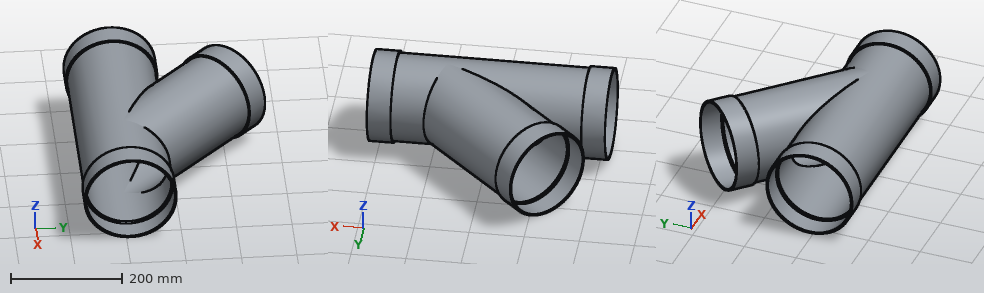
import cadquery as cq
import math


run_length = 432.0
bore_diameter = 154.0
wall = 3.0
socket_depth = 40.0
branch_angle = 45.0
crotch_clearance = 60.0

pipe_diameter = bore_diameter + 2 * wall
socket_diameter = pipe_diameter
collar_diameter = socket_diameter + 2 * wall
collar_length = socket_depth + wall
crotch_distance = pipe_diameter / 2 / math.tan(math.radians(branch_angle / 2))
branch_length = crotch_distance + crotch_clearance + collar_length
junction_x = branch_length - run_length / 2

run_start = cq.Vector(-run_length / 2, 0, 0)
run_end = cq.Vector(run_length / 2, 0, 0)
junction = cq.Vector(junction_x, 0, 0)
branch_direction = cq.Vector(
    -math.cos(math.radians(branch_angle)),
    math.sin(math.radians(branch_angle)),
    0,
)
branch_end = junction + branch_direction * branch_length

open_ends = [
    (run_start, cq.Vector(-1, 0, 0)),
    (run_end, cq.Vector(1, 0, 0)),
    (branch_end, branch_direction),
]


def cylinder_between(start, end, diameter):
    """Solid cylinder whose axis goes from start to end."""
    axis = end - start
    return cq.Workplane(cq.Solid.makeCylinder(diameter / 2, axis.Length, start, axis))


def wye(diameter, end_diameter, end_depth):
    """Run and branch of one diameter, widened over end_depth at each of the three open ends."""
    body = cylinder_between(run_start, run_end, diameter)
    body = body.union(cylinder_between(junction, branch_end, diameter))
    for end, outward in open_ends:
        body = body.union(cylinder_between(end - outward * end_depth, end, end_diameter))
    return body


def shoulder_cone(end, outward):
    """Cone that narrows from the bottom of the socket to the bore, ending level with the collar."""
    cone = cq.Solid.makeCone(
        bore_diameter / 2,
        socket_diameter / 2,
        collar_length - socket_depth,
        end - outward * collar_length,
        outward,
    )
    return cq.Workplane(cone)


outside = wye(pipe_diameter, collar_diameter, collar_length)
inside = wye(bore_diameter, socket_diameter, socket_depth)
for end_point, end_direction in open_ends:
    inside = inside.union(shoulder_cone(end_point, end_direction))

result = outside.cut(inside)